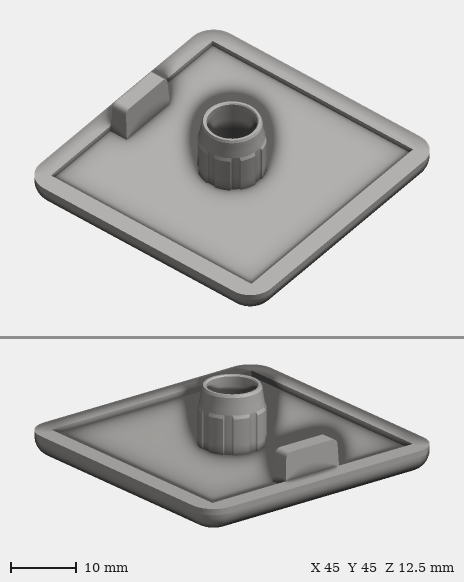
import cadquery as cq
import math

plate_side = 44.95
plate_height = 4.0
corner_radius = 4.0
bottom_fillet = 3.0
rim_width = 2.95
recess_depth = 1.0
floor_z = plate_height - recess_depth

post_top_z = 12.5
post_core_radius = 5.05
post_rib_radius = 5.25
nose_start_z = 9.4
nose_end_radius = 4.65
nose_edge_height = 0.4
nose_edge_inset = 0.22
bore_radius = 3.85
bore_chamfer = 0.2

rib_count = 8
rib_top_z = 8.85
groove_inner_half_width = 0.65
groove_outer_half_width = 0.85

tab_top_z = 8.45
tab_base_length = 10.45
tab_top_length = 9.9
tab_base_thickness = 3.25
tab_left_inset = 0.22
tab_right_inset = 0.4
tab_corner_radius = 1.0


def make_plate():
    plate = (
        cq.Workplane("XY")
        .rect(plate_side, plate_side)
        .extrude(plate_height)
        .edges("|Z").fillet(corner_radius)
        .faces("<Z").edges().fillet(bottom_fillet)
    )
    recess_side = plate_side - 2 * rim_width
    recess = cq.Workplane("XY", origin=(0, 0, floor_z)).rect(recess_side, recess_side).extrude(recess_depth)
    return plate.cut(recess)


def revolve_profile(points):
    return cq.Workplane("XZ").polyline(points).close().revolve(360, (0, 0, 0), (0, 1, 0))


def make_groove():
    """Groove cutter on the +X side, wider at its mouth than at its floor."""
    flare = (groove_outer_half_width - groove_inner_half_width) / (post_rib_radius - post_core_radius)
    reach = 2 * post_rib_radius - post_core_radius
    reach_half_width = groove_outer_half_width + flare * (reach - post_rib_radius)
    floor_x = math.sqrt(post_core_radius**2 - groove_inner_half_width**2)
    outline = [
        (floor_x, -groove_inner_half_width),
        (reach, -reach_half_width),
        (reach, reach_half_width),
        (floor_x, groove_inner_half_width),
    ]
    height = nose_start_z - floor_z
    return cq.Workplane("XY", origin=(0, 0, floor_z)).polyline(outline).close().extrude(height)


def make_post():
    core = revolve_profile([
        (0, floor_z),
        (post_core_radius, floor_z),
        (post_core_radius, nose_start_z),
        (nose_end_radius, post_top_z - nose_edge_height),
        (nose_end_radius - nose_edge_inset, post_top_z),
        (0, post_top_z),
    ])
    ribs = revolve_profile([
        (0, floor_z),
        (post_rib_radius, floor_z),
        (post_rib_radius, rib_top_z),
        (post_core_radius, nose_start_z),
        (0, nose_start_z),
    ])
    groove = make_groove()
    for index in range(rib_count):
        ribs = ribs.cut(groove.rotate((0, 0, 0), (0, 0, 1), index * 360 / rib_count))
    bore = revolve_profile([
        (0, floor_z),
        (bore_radius, floor_z),
        (bore_radius, post_top_z - bore_chamfer),
        (bore_radius + bore_chamfer, post_top_z),
        (0, post_top_z),
    ])
    return core.union(ribs).cut(bore)


def make_tab():
    left_x = rim_width - plate_side / 2
    right_x = left_x + tab_base_thickness
    thickness_profile = [
        (left_x, floor_z),
        (right_x, floor_z),
        (right_x - tab_right_inset, tab_top_z),
        (left_x + tab_left_inset, tab_top_z),
    ]
    length_profile = [
        (-tab_base_length / 2, floor_z),
        (tab_base_length / 2, floor_z),
        (tab_top_length / 2, tab_top_z),
        (-tab_top_length / 2, tab_top_z),
    ]
    slab = cq.Workplane("XZ").polyline(thickness_profile).close().extrude(tab_base_length / 2, both=True)
    taper = (
        cq.Workplane("YZ", origin=(left_x, 0, 0))
        .polyline(length_profile).close()
        .extrude(tab_base_thickness)
        .edges("|X and >Z").fillet(tab_corner_radius)
    )
    return slab.intersect(taper)


result = make_plate().union(make_post()).union(make_tab())